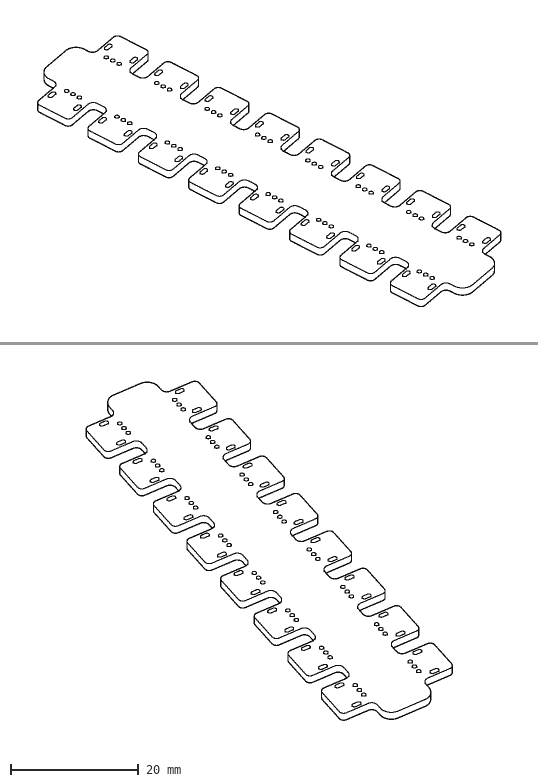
import cadquery as cq

length = 84.5
width = 20.7
thickness = 1.5
spine_width = 9.0
spine_corner_radius = 2.0

tab_count = 8
tab_row_length = 70.0
tab_pitch = tab_row_length / (tab_count - 1)
tab_width = 6.7
tab_tip_radius = 0.8
tab_root_radius = 1.0

hole_diameter = 0.71
holes_per_tab = 3
hole_pitch = 1.3
hole_row_y = 5.1

slot_length = 1.5
slot_width = 0.74
slot_spacing = 5.1
slot_row_y = 7.2
slot_step = 0.06


def centred_positions(count, pitch):
    """Positions of evenly pitched items, centred on zero."""
    return [(i - (count - 1) / 2) * pitch for i in range(count)]


tab_centres = centred_positions(tab_count, tab_pitch)
half_tab = tab_width / 2
tab_sides = [x + side * half_tab for x in tab_centres for side in (-1, 1)]


def block(size_x, size_y):
    """Flat block of plate thickness, centred on the origin in X and Y."""
    return cq.Workplane("XY").box(size_x, size_y, thickness, centered=(True, True, False))


def corner_selector(x, y):
    """Selector for the upright edge that stands on the point (x, y)."""
    reach = 0.1
    return cq.selectors.BoxSelector(
        (x - reach, y - reach, 0),
        (x + reach, y + reach, thickness),
    )


def make_plate():
    """Spine with rounded ends and a rounded tab on each side at every tab centre."""
    plate = block(length, spine_width).edges("|Z").fillet(spine_corner_radius)
    for x in tab_centres:
        tab_pair = block(tab_width, width).edges("|Z").fillet(tab_tip_radius)
        plate = plate.union(tab_pair.translate((x, 0, 0)))
    for x in tab_sides:
        for side in (-1, 1):
            root = corner_selector(x, side * spine_width / 2)
            plate = plate.edges(root).fillet(tab_root_radius)
    return plate


def hole_centres():
    """Centres of the round holes in all tabs."""
    offsets = centred_positions(holes_per_tab, hole_pitch)
    return [(x + dx, side * hole_row_y) for x in tab_centres for dx in offsets for side in (-1, 1)]


def slot_centres():
    """Centres of the slots in all tabs."""
    centres = []
    for i, x in enumerate(tab_centres):
        for dx in centred_positions(2, slot_spacing):
            centres.append((x + dx, slot_row_y))
            centres.append((x + dx, i * slot_step - slot_row_y))
    return centres


holes = cq.Workplane("XY").pushPoints(hole_centres()).circle(hole_diameter / 2).extrude(thickness)
slots = cq.Workplane("XY").pushPoints(slot_centres()).slot2D(slot_length, slot_width, 90).extrude(thickness)

result = make_plate().cut(holes).cut(slots)